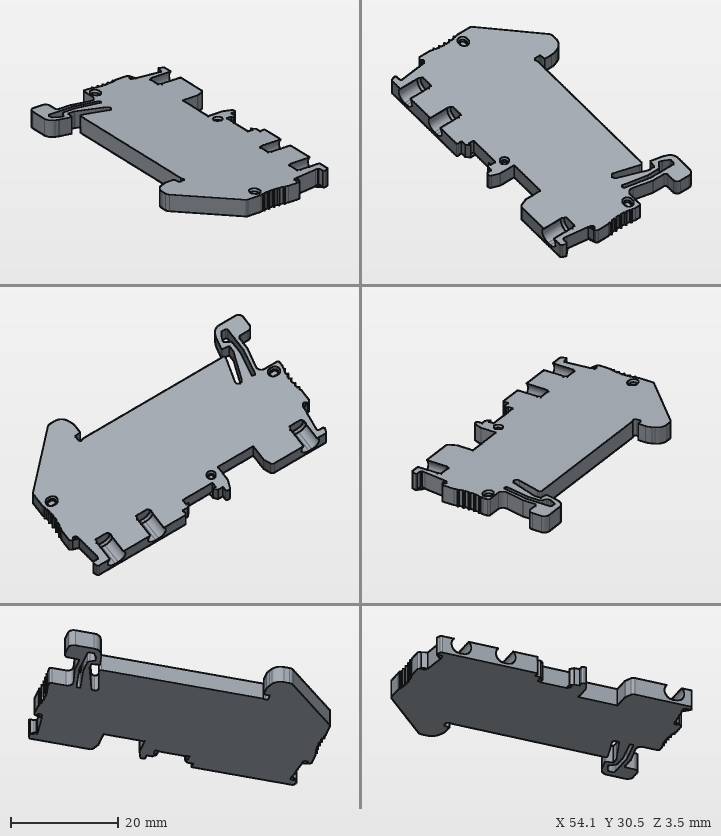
import cadquery as cq
import math

LENGTH = 54.15
HEIGHT = 30.5
THICKNESS = 3.5
BODY_HALF = 27.0
SHOULDER_Y = 12.55
RAIL_Y = 6.05
RIGHT_CORNER_Y = 10.65
TOE_X = 12.3

GRIP_Y = 17.1
GRIP_LENGTH = 6.4
GRIP_DEPTH = 0.5
TOOTH_COUNT = 5
TOOTH_PITCH = 1.2
TOOTH_BASE = 0.45
TOOTH_TIP = 0.15
TOOTH_TIP_SAG = 0.15

WEB = 0.15
CLIP_LEFT = -1.45
CLIP_RIGHT = 4.0
CLIP_FLOOR_Y = 27.5
CLIP_RELIEF_WIDTH = 0.6
CLIP_RELIEF_HEIGHT = 1.1

FUNNEL_CENTERS = (-22.1, 12.4, 21.5)
FUNNEL_END_Y = 25.45
FUNNEL_MOUTH_HALF = 1.5
FUNNEL_FLOOR_HALF = 0.3
FUNNEL_RADIUS = 1.7
FUNNEL_END_LENGTH = 0.65
FUNNEL_END_INSET = 0.2

OVAL_X = 25.0
OVAL_Y = 14.0
OVAL_LENGTH = 2.4
OVAL_WIDTH = 1.95
ROUND_X = -2.8
ROUND_Y = 26.0
ROUND_DIAMETER = 1.8
RECESS_RIM = 0.3
RECESS_DEPTH = 0.45
HOLE_RIM = 0.05
HOLE_DEPTH = 0.55


def rounded_outline(corners):
    """Closed outline through (x, y, radius) corners, rounded by tangent arcs; radius 0 stays sharp."""
    pieces = []
    for i, (x, y, radius) in enumerate(corners):
        corner = cq.Vector(x, y)
        before = cq.Vector(*corners[i - 1][:2])
        after = cq.Vector(*corners[(i + 1) % len(corners)][:2])
        if radius == 0:
            pieces.append((corner,))
            continue
        back = (before - corner).normalized()
        ahead = (after - corner).normalized()
        half_angle = back.getAngle(ahead) / 2
        reach = radius / math.tan(half_angle)
        bisector = (back + ahead).normalized()
        middle = corner + bisector * (radius / math.sin(half_angle) - radius)
        pieces.append((corner + back * reach, middle, corner + ahead * reach))
    outline = cq.Workplane("XY").moveTo(*pieces[0][-1].toTuple()[:2])
    for piece in pieces[1:] + pieces[:1]:
        outline = outline.lineTo(*piece[0].toTuple()[:2])
        if len(piece) > 1:
            outline = outline.threePointArc(piece[1].toTuple()[:2], piece[2].toTuple()[:2])
    return outline.close()


def mirrored(corners):
    """The same corners on the other side of X = 0, in reverse order."""
    return [(-corner[0],) + tuple(corner[1:]) for corner in reversed(corners)]


END_HOOK = [
    (25.7, HEIGHT, 0.45),
    (26.1, 29.4, 0.2),
    (25.0, 28.3, 0),
    (24.7, 28.3, 0),
    (25.3, 23.6, 0),
    (BODY_HALF, 23.0, 0.5),
]

TOP_NOTCHES = [
    (-13.55, HEIGHT, 0.65),
    (-12.8, 28.7, 0.45),
    (-12.8, 25.25, 0),
    (-4.8, 25.25, 0),
    (-4.8, 28.6, 0.2),
    (-4.1, HEIGHT, 0.45),
    (-3.2, HEIGHT, 0.3),
    (-3.2, 29.35, 0),
    (-2.1, 29.35, 0),
    (CLIP_LEFT, 28.65, 0),
    (CLIP_LEFT, CLIP_FLOOR_Y, 0),
    (CLIP_RIGHT, CLIP_FLOOR_Y, 0),
    (CLIP_RIGHT, 28.65, 0),
    (4.7, 29.35, 0),
    (5.9, 29.35, 0),
    (5.75, HEIGHT, 0.25),
]

RIGHT_FOOT = [
    (BODY_HALF, RIGHT_CORNER_Y, 0.55),
    (16.35, 0, 1.1),
    (13.35, 0, 2.15),
    (TOE_X, 2.5, 3.25),
    (TOE_X, 4.7, 0),
    (13.55, 4.8, 0.15),
    (13.55, 6.4, 0.3),
    (12.55, RAIL_Y, 0),
]

LEFT_FOOT = [
    (-19.3, RAIL_Y, 0.3),
    (-19.15, 6.8, 0.45),
    (-17.55, SHOULDER_Y, 0.6),
    (-18.9, SHOULDER_Y, 0.75),
    (-21.15, 6.2, 0.55),
    (-21.15, 4.8, 0),
    (-19.6, 4.6, 0.1),
    (-20.15, 1.95, 1.1),
    (-20.9, 0, 1.85),
    (-26.85, 0, 1.1),
    (-26.85, 4.05, 1.0),
    (-23.7, 4.05, 0.5),
    (-23.7, 7.15, 1.1),
    (-22.5, SHOULDER_Y, 1.1),
    (-BODY_HALF, SHOULDER_Y, 0.4),
]

SPRING_SLIT = [
    (-21.8, SHOULDER_Y, 0.15),
    (-21.05, SHOULDER_Y, 0.15),
    (-22.1, 7.15, 0.55),
    (-22.1, 4.3, 0.65),
    (-20.8, 3.5, 0.25),
    (-20.9, 2.8, 0.2),
    (-21.65, 1.4, 0.2),
    (-22.9, 1.4, 0.3),
    (-22.9, 7.05, 0.55),
]

HOOK_RELIEFS = (
    [(25.9, 29.2), (25.2, 29.2), (24.75, 29.1), (24.65, 28.85), (24.7, 28.3), (25.0, 28.3)],
    [(25.3, 23.6), (25.4, 23.05), (25.5, 22.85), (25.7, 22.75), (26.15, 22.75), (26.4, 23.15)],
)


def body():
    outline = TOP_NOTCHES + END_HOOK + RIGHT_FOOT + LEFT_FOOT + mirrored(END_HOOK)
    plate = rounded_outline(outline).extrude(THICKNESS)
    return plate.cut(rounded_outline(SPRING_SLIT).extrude(THICKNESS))


def add_grips(part):
    half = GRIP_LENGTH / 2
    radius = (half**2 + GRIP_DEPTH**2) / (2 * GRIP_DEPTH)

    def hollow_depth(offset):
        return GRIP_DEPTH - radius + math.sqrt(radius**2 - offset**2)

    outer_offset = TOOTH_PITCH * (TOOTH_COUNT - 1) / 2
    for side in (-1, 1):
        center_x = side * (BODY_HALF - GRIP_DEPTH + radius)
        part = part.cut(cq.Workplane("XY").center(center_x, GRIP_Y).circle(radius).extrude(THICKNESS))
        for i in range(TOOTH_COUNT):
            offset = i * TOOTH_PITCH - outer_offset
            foot_x = side * (BODY_HALF - 2 * GRIP_DEPTH)
            root_x = side * (BODY_HALF - hollow_depth(offset))
            tip_x = side * (LENGTH / 2 - TOOTH_TIP_SAG * (1 - (offset / outer_offset) ** 2))
            tooth = [
                (foot_x, -TOOTH_BASE / 2),
                (root_x, -TOOTH_BASE / 2),
                (tip_x, -TOOTH_TIP / 2),
                (tip_x, TOOTH_TIP / 2),
                (root_x, TOOTH_BASE / 2),
                (foot_x, TOOTH_BASE / 2),
            ]
            base = cq.Workplane("XY", origin=(0, GRIP_Y + offset, 0))
            part = part.union(base.polyline(tooth).close().extrude(THICKNESS))
    return part


def cut_reliefs(part):
    from_web = cq.Workplane("XY", origin=(0, 0, WEB))
    for relief in HOOK_RELIEFS:
        for corners in (relief, mirrored(relief)):
            part = part.cut(from_web.polyline(corners).close().extrude(THICKNESS))
    for x in (CLIP_LEFT - CLIP_RELIEF_WIDTH / 2, CLIP_RIGHT + CLIP_RELIEF_WIDTH / 2):
        pocket = from_web.center(x, CLIP_FLOOR_Y + CLIP_RELIEF_HEIGHT / 2)
        part = part.cut(pocket.rect(CLIP_RELIEF_WIDTH, CLIP_RELIEF_HEIGHT).extrude(THICKNESS))
    return part


def wire_funnel(center_x):
    axis_depth = math.sqrt(FUNNEL_RADIUS**2 - (FUNNEL_MOUTH_HALF - FUNNEL_FLOOR_HALF) ** 2)
    axis_z = THICKNESS - axis_depth
    slot_length = 2 * (FUNNEL_FLOOR_HALF + FUNNEL_RADIUS)
    taper_y = FUNNEL_END_Y + FUNNEL_END_LENGTH

    def slot_at(y):
        plane = cq.Workplane("XZ", origin=(center_x, y, axis_z))
        return plane.slot2D(slot_length, 2 * FUNNEL_RADIUS)

    barrel = slot_at(HEIGHT).extrude(HEIGHT - taper_y)
    end_taper = math.degrees(math.atan2(FUNNEL_END_INSET, FUNNEL_END_LENGTH))
    return barrel.union(slot_at(taper_y).extrude(FUNNEL_END_LENGTH, taper=end_taper))


def test_point(x, y, length, width):
    """Tapered recess and the tapered hole in its floor; equal length and width make it round."""

    def tapered(inset, top_z, depth, rim):
        sketch = cq.Workplane("XY", origin=(x, y, top_z))
        if length > width:
            sketch = sketch.slot2D(length - 2 * inset, width - 2 * inset)
        else:
            sketch = sketch.circle(width / 2 - inset)
        return sketch.extrude(-depth, taper=math.degrees(math.atan2(rim, depth)))

    recess = tapered(0, THICKNESS, RECESS_DEPTH, RECESS_RIM)
    return recess.union(tapered(RECESS_RIM, THICKNESS - RECESS_DEPTH, HOLE_DEPTH, HOLE_RIM))


result = cut_reliefs(add_grips(body()))
for funnel_x in FUNNEL_CENTERS:
    result = result.cut(wire_funnel(funnel_x))
for oval_x in (-OVAL_X, OVAL_X):
    result = result.cut(test_point(oval_x, OVAL_Y, OVAL_LENGTH, OVAL_WIDTH))
result = result.cut(test_point(ROUND_X, ROUND_Y, ROUND_DIAMETER, ROUND_DIAMETER))